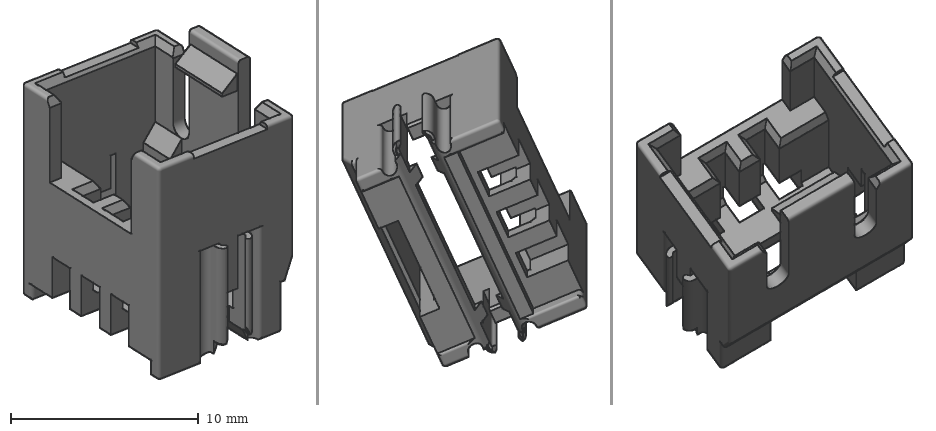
import cadquery as cq
import math

HALF_WIDTH = 5.85
HALF_DEPTH = 4.6
WALL_TOP = 13.1
EDGE_RADIUS = 0.2

INNER_HALF_WIDTH = 5.0
INNER_HALF_DEPTH = 3.8
FLOOR_TOP = 2.03
FLOOR_BOTTOM = 0.18
RIM_BEVEL_X = 0.35
RIM_BEVEL_Y = 0.3
BEVEL_HEIGHT = 0.45

SADDLE_LENGTH = 5.0
SADDLE_CENTER_Y = 0.29
SADDLE_HEIGHT = 12.85

OVERHANG_BOTTOM = 3.0
OVERHANG_LIP_Y = 4.05
OVERHANG_SLOPE_TOP = 4.4

WINDOW_HALF_WIDTH = 3.48
WINDOW_BOTTOM = 8.0
WINDOW_BEVEL_WIDTH = 0.27
WINDOW_BEVEL_HEIGHT = 0.5
LATCH_HALF_WIDTH = 2.1
LATCH_TOP = 15.0
LATCH_TOOTH_HALF_WIDTH = 2.0
LATCH_TOOTH_REACH = 1.02
LATCH_TOOTH_BOTTOM = 13.1
LATCH_TOOTH_TIP_HEIGHT = 0.2
LATCH_TOOTH_HEIGHT = 1.05

REAR_OPENING_HALF_WIDTH = 2.72
CORNER_BLOCK_DEPTH = 0.8
CORNER_BLOCK_TOP = 8.0
CORNER_BLOCK_SHOULDER = 7.0
REAR_NOTCH_START_Y = 2.66

FRONT_BLOCK_Y = -2.4
CHANNEL_CENTER_X = 1.27
CHANNEL_WIDTH = 1.2
BLOCK_BEVEL = 0.3
CHANNEL_RAMP = 0.3
SLOT_END_Y = -2.21
SLOT_TOP = 3.5
CENTER_SLOT_HALF_WIDTH = 0.78
OUTER_SLOT_NEAR_X = 1.75
OUTER_SLOT_FAR_X = 3.25
FRONT_WALL_BOTTOM = 0.98
FRONT_RECESS_END_Y = -1.8
LEG_RADIUS = 0.24
FOOT_RADIUS = 0.15

CLIP_CENTER_Y = 0.29
CLIP_TOP = 7.02
GAP_HALF_WIDTH = 0.83
TONGUE_REAR_REACH = 0.49
LEFT_TONGUE_BOTTOM = 4.99
RIGHT_TONGUE_BOTTOM = 3.78
TONGUE_BEVEL_WIDTH = 0.12
TONGUE_BEVEL_HEIGHT = 0.24
HOOK_THICKNESS = 0.34
HOOK_BOTTOM = 0.98
HOOK_BEND_X = 6.025
HOOK_BEND_RADIUS = 0.34
HOOK_BEND_ANGLE = math.radians(64)
HOOK_END_ROUNDING = 0.15
GROOVE_RADIUS = 0.4
NECK_NEAR_X = 3.86
NECK_FAR_X = 4.68
NECK_REACH = 0.4
LEAD_IN_FOOT = 1.28
LEAD_IN_ARC_TANGENT = 0.55


def block(x_range, y_range, z_range):
    """Box between two limits along each axis."""
    spans = [high - low for low, high in (x_range, y_range, z_range)]
    corner = (x_range[0], y_range[0], z_range[0])
    return cq.Workplane("XY").box(*spans, centered=False).translate(corner)


def centered_block(half_width, y_range, z_range):
    """Box symmetric about the YZ plane."""
    return block((-half_width, half_width), y_range, z_range)


def extrude_along_x(profile_yz, half_width):
    """Closed YZ outline extruded equally to both sides of the YZ plane."""
    return cq.Workplane("YZ").polyline(profile_yz).close().extrude(half_width, both=True)


def both_sides(shape):
    """Shape joined with its mirror image across the YZ plane."""
    return shape.union(shape.mirror("YZ"))


def mirrored_pair(shape):
    """Shape joined with its mirror image across the clip centre plane."""
    return shape.union(shape.mirror("XZ", (0, CLIP_CENTER_Y, 0)))


def bevel_frustum(half_x, y_range, z_top, bevel_x, bevel_front, bevel_rear, height, center_x=0):
    """Tapered cutter that widens upward to the given bevels at z_top."""
    y_low, y_high = y_range
    y_middle = (y_low + y_high) / 2
    depth = y_high - y_low
    return (
        cq.Workplane("XY", origin=(center_x, y_middle, z_top - height))
        .rect(2 * half_x, depth)
        .workplane(offset=height)
        .center(0, (bevel_rear - bevel_front) / 2)
        .rect(2 * (half_x + bevel_x), depth + bevel_front + bevel_rear)
        .loft(ruled=True)
    )


def make_shell():
    """Rounded outer body, solid inside, with the overhanging rear wall."""
    profile = [
        (-HALF_DEPTH, 0),
        (INNER_HALF_DEPTH, 0),
        (INNER_HALF_DEPTH, OVERHANG_BOTTOM),
        (OVERHANG_LIP_Y, OVERHANG_BOTTOM),
        (HALF_DEPTH, OVERHANG_SLOPE_TOP),
        (HALF_DEPTH, WALL_TOP),
        (-HALF_DEPTH, WALL_TOP),
    ]
    shell = extrude_along_x(profile, HALF_WIDTH)
    cross_edges = shell.edges("|X").edges(">Z or <Z or <Y")
    return shell.faces("<X or >X").edges().add(cross_edges).fillet(EDGE_RADIUS)


def make_cavity():
    """Space inside the walls above the floor, down to the thick front block and the rear blocks."""
    y_range = (-INNER_HALF_DEPTH, INNER_HALF_DEPTH)
    cavity = centered_block(INNER_HALF_WIDTH, y_range, (FLOOR_TOP, WALL_TOP))
    rim_bevel = bevel_frustum(
        INNER_HALF_WIDTH, y_range, WALL_TOP, RIM_BEVEL_X, RIM_BEVEL_Y, RIM_BEVEL_Y, BEVEL_HEIGHT
    )
    return cavity.union(rim_bevel).cut(make_front_block()).cut(make_corner_blocks())


def make_front_block():
    """Thick lower part of the front wall with a bevelled upper edge."""
    profile = [
        (-HALF_DEPTH, 0),
        (FRONT_BLOCK_Y, 0),
        (FRONT_BLOCK_Y, WINDOW_BOTTOM - BEVEL_HEIGHT),
        (FRONT_BLOCK_Y - BLOCK_BEVEL, WINDOW_BOTTOM),
        (-HALF_DEPTH, WINDOW_BOTTOM),
    ]
    return extrude_along_x(profile, INNER_HALF_WIDTH)


def make_channels():
    """Two key channels with bevelled mouths and a small ramp at the foot of each."""
    half_width = CHANNEL_WIDTH / 2
    x_range = (CHANNEL_CENTER_X - half_width, CHANNEL_CENTER_X + half_width)
    y_range = (-INNER_HALF_DEPTH, FRONT_BLOCK_Y)
    channel = block(x_range, y_range, (FLOOR_TOP, WINDOW_BOTTOM))
    mouth = bevel_frustum(
        half_width, y_range, WINDOW_BOTTOM, BLOCK_BEVEL, BLOCK_BEVEL, 0, BEVEL_HEIGHT, CHANNEL_CENTER_X
    )
    ramp_profile = [
        (-INNER_HALF_DEPTH, FLOOR_TOP),
        (-INNER_HALF_DEPTH + CHANNEL_RAMP, FLOOR_TOP),
        (-INNER_HALF_DEPTH, FLOOR_TOP + CHANNEL_RAMP),
    ]
    ramp = extrude_along_x(ramp_profile, half_width).translate((CHANNEL_CENTER_X, 0, 0))
    return both_sides(channel.union(mouth).cut(ramp))


def make_corner_blocks():
    """Two sloped-top blocks in the rear corners."""
    front_y = INNER_HALF_DEPTH - CORNER_BLOCK_DEPTH
    profile = [
        (front_y, 0),
        (INNER_HALF_DEPTH, 0),
        (INNER_HALF_DEPTH, CORNER_BLOCK_TOP),
        (front_y, CORNER_BLOCK_SHOULDER),
    ]
    blocks = extrude_along_x(profile, INNER_HALF_WIDTH)
    gap = centered_block(REAR_OPENING_HALF_WIDTH, (front_y, INNER_HALF_DEPTH), (0, CORNER_BLOCK_TOP))
    return blocks.cut(gap)


def make_window_flare():
    """Cutter for the bevelled upper corners shared by the front and rear openings."""
    top_half_width = WINDOW_HALF_WIDTH + WINDOW_BEVEL_WIDTH
    bevel_bottom = WALL_TOP - WINDOW_BEVEL_HEIGHT
    outline = [
        (-WINDOW_HALF_WIDTH, bevel_bottom),
        (WINDOW_HALF_WIDTH, bevel_bottom),
        (top_half_width, WALL_TOP),
        (-top_half_width, WALL_TOP),
    ]
    return cq.Workplane("XZ").polyline(outline).close().extrude(HALF_DEPTH, both=True)


def make_openings():
    """Front window, and the two round-bottomed slots beside the latch arm."""
    window = centered_block(WINDOW_HALF_WIDTH, (-HALF_DEPTH, FRONT_BLOCK_Y), (WINDOW_BOTTOM, WALL_TOP))
    slot_radius = (WINDOW_HALF_WIDTH - LATCH_HALF_WIDTH) / 2
    slot_center_x = LATCH_HALF_WIDTH + slot_radius
    slot_center_z = WINDOW_BOTTOM + slot_radius
    wall_range = (INNER_HALF_DEPTH, HALF_DEPTH)
    slot = block((LATCH_HALF_WIDTH, WINDOW_HALF_WIDTH), wall_range, (slot_center_z, WALL_TOP))
    slot_end = (
        cq.Workplane("XZ", origin=(slot_center_x, HALF_DEPTH, slot_center_z))
        .circle(slot_radius)
        .extrude(HALF_DEPTH - INNER_HALF_DEPTH)
    )
    return window.union(make_window_flare()).union(both_sides(slot.union(slot_end)))


def make_latch():
    """Flexible arm of the rear wall with its wedge-shaped tooth."""
    arm = centered_block(LATCH_HALF_WIDTH, (INNER_HALF_DEPTH, HALF_DEPTH), (WINDOW_BOTTOM, LATCH_TOP))
    arm = arm.faces(">Z").edges("|X").fillet(EDGE_RADIUS)
    tip_y = INNER_HALF_DEPTH - LATCH_TOOTH_REACH
    tooth_profile = [
        (INNER_HALF_DEPTH, LATCH_TOOTH_BOTTOM),
        (tip_y, LATCH_TOOTH_BOTTOM),
        (tip_y, LATCH_TOOTH_BOTTOM + LATCH_TOOTH_TIP_HEIGHT),
        (INNER_HALF_DEPTH, LATCH_TOOTH_BOTTOM + LATCH_TOOTH_HEIGHT),
    ]
    return arm.union(extrude_along_x(tooth_profile, LATCH_TOOTH_HALF_WIDTH))


def make_contact_slots():
    """Three slots through the front block and the front edge of the floor."""
    y_range = (-HALF_DEPTH, SLOT_END_Y)
    z_range = (0, SLOT_TOP)
    center = centered_block(CENTER_SLOT_HALF_WIDTH, y_range, z_range)
    outer = block((OUTER_SLOT_NEAR_X, OUTER_SLOT_FAR_X), y_range, z_range)
    return center.union(both_sides(outer))


def flared_recess(plane, depth, length, radius):
    """Recess between the legs, opening outward with rounded edges at its mouth."""
    mid_offset = radius * (1 - math.sqrt(0.5))
    half = INNER_HALF_WIDTH
    return (
        cq.Workplane(plane)
        .moveTo(-half - radius, 0)
        .threePointArc((-half - mid_offset, mid_offset), (-half, radius))
        .lineTo(-half, depth)
        .lineTo(half, depth)
        .lineTo(half, radius)
        .threePointArc((half + mid_offset, mid_offset), (half + radius, 0))
        .close()
        .extrude(length)
    )


def make_underside_recesses():
    """Clearance below the floor and the deeper clearance below the front wall."""
    under_floor = flared_recess("XZ", FLOOR_BOTTOM, 2 * HALF_DEPTH, FOOT_RADIUS)
    under_front = flared_recess("XY", HALF_DEPTH + FRONT_RECESS_END_Y, FRONT_WALL_BOTTOM, LEG_RADIUS)
    under_floor = under_floor.translate((0, HALF_DEPTH, 0))
    return under_floor.union(under_front.translate((0, -HALF_DEPTH, 0)))


def make_clip_gap():
    """Gap that separates the front and rear halves of the floor and the side walls."""
    y_range = (CLIP_CENTER_Y - GAP_HALF_WIDTH, CLIP_CENTER_Y + GAP_HALF_WIDTH)
    return centered_block(HALF_WIDTH, y_range, (0, CLIP_TOP))


def make_tongue(start_x, bottom):
    """Side wall tongue left hanging in the gap, joined to the wall on its front side.

    The wall section starts at start_x, where the lower edge is bevelled.
    """
    end_x = start_x + HALF_WIDTH - INNER_HALF_WIDTH
    outline = [
        (start_x, CLIP_TOP),
        (end_x, CLIP_TOP),
        (end_x, bottom),
        (start_x + TONGUE_BEVEL_WIDTH, bottom),
        (start_x, bottom + TONGUE_BEVEL_HEIGHT),
    ]
    tongue = cq.Workplane("XZ").polyline(outline).close().extrude(TONGUE_REAR_REACH + GAP_HALF_WIDTH)
    return tongue.translate((0, CLIP_CENTER_Y + TONGUE_REAR_REACH, 0))


def make_grooves():
    """Round-bottomed grooves that free the clip hooks from the side walls."""
    near_y = CLIP_CENTER_Y + GAP_HALF_WIDTH + HOOK_THICKNESS
    far_y = near_y + 2 * GROOVE_RADIUS
    center_x = HALF_WIDTH - EDGE_RADIUS
    mouth_offset = EDGE_RADIUS * (1 - math.sqrt(0.5))
    groove = (
        cq.Workplane("XY")
        .moveTo(HALF_WIDTH, near_y)
        .lineTo(center_x, near_y)
        .threePointArc((center_x - GROOVE_RADIUS, near_y + GROOVE_RADIUS), (center_x, far_y))
        .threePointArc(
            (HALF_WIDTH - mouth_offset, far_y + mouth_offset), (HALF_WIDTH, far_y + EDGE_RADIUS)
        )
        .close()
        .extrude(CLIP_TOP)
    )
    return both_sides(mirrored_pair(groove))


def make_hooks():
    """Clip hooks of constant thickness, bent toward each other with rounded tips."""
    half = HOOK_THICKNESS / 2
    base_y = CLIP_CENTER_Y + GAP_HALF_WIDTH + half
    bend_y = base_y - HOOK_BEND_RADIUS

    def on_bend(radius, angle):
        return (HOOK_BEND_X + radius * math.sin(angle), bend_y + radius * math.cos(angle))

    outer = HOOK_BEND_RADIUS + half
    inner = HOOK_BEND_RADIUS - half
    tip_x, tip_y = on_bend(HOOK_BEND_RADIUS, HOOK_BEND_ANGLE)
    tip = (tip_x + half * math.cos(HOOK_BEND_ANGLE), tip_y - half * math.sin(HOOK_BEND_ANGLE))
    hook = (
        cq.Workplane("XY", origin=(0, 0, HOOK_BOTTOM))
        .moveTo(HALF_WIDTH, base_y + half)
        .lineTo(HOOK_BEND_X, base_y + half)
        .threePointArc(on_bend(outer, HOOK_BEND_ANGLE / 2), on_bend(outer, HOOK_BEND_ANGLE))
        .threePointArc(tip, on_bend(inner, HOOK_BEND_ANGLE))
        .threePointArc(on_bend(inner, HOOK_BEND_ANGLE / 2), (HOOK_BEND_X, base_y - half))
        .lineTo(HALF_WIDTH, base_y - half)
        .close()
        .extrude(CLIP_TOP - HOOK_BOTTOM)
        .faces("<Z")
        .edges("not(<X)")
        .chamfer(HOOK_END_ROUNDING)
    )
    return both_sides(mirrored_pair(hook))


def make_necks():
    """Small floor tabs that reach into the gap next to the clips."""
    edge_y = CLIP_CENTER_Y + GAP_HALF_WIDTH
    neck = block((NECK_NEAR_X, NECK_FAR_X), (edge_y - NECK_REACH, edge_y), (FLOOR_BOTTOM, FLOOR_TOP))
    return both_sides(mirrored_pair(neck))


def make_lead_in():
    """Cutter for the sloped and rounded lower edges on both sides of the gap."""
    top_offset = GAP_HALF_WIDTH - NECK_REACH
    slope_length = math.hypot(LEAD_IN_FOOT - top_offset, FLOOR_TOP)
    arc_end = (
        LEAD_IN_FOOT - LEAD_IN_ARC_TANGENT * (LEAD_IN_FOOT - top_offset) / slope_length,
        LEAD_IN_ARC_TANGENT * FLOOR_TOP / slope_length,
    )
    cutter = (
        cq.Workplane("YZ")
        .lineTo(0, FLOOR_TOP)
        .lineTo(top_offset, FLOOR_TOP)
        .lineTo(*arc_end)
        .tangentArcPoint((LEAD_IN_FOOT + LEAD_IN_ARC_TANGENT, 0), relative=False)
        .close()
        .extrude(2 * HALF_WIDTH, both=True)
        .translate((0, CLIP_CENTER_Y, 0))
    )
    return mirrored_pair(cutter)


def make_saddle():
    """Cutter that lowers the middle of both side walls."""
    y_range = (SADDLE_CENTER_Y - SADDLE_LENGTH / 2, SADDLE_CENTER_Y + SADDLE_LENGTH / 2)
    return centered_block(HALF_WIDTH, y_range, (SADDLE_HEIGHT, WALL_TOP))


def make_rear_notch():
    """Opening in the rear of the floor below the latch arm."""
    return centered_block(
        REAR_OPENING_HALF_WIDTH, (REAR_NOTCH_START_Y, HALF_DEPTH), (0, OVERHANG_BOTTOM)
    )


housing = make_shell().cut(make_cavity()).cut(make_channels()).cut(make_openings())
housing = housing.cut(make_saddle()).cut(make_contact_slots())
housing = housing.cut(make_underside_recesses()).cut(make_rear_notch())
housing = housing.cut(make_clip_gap()).cut(make_grooves())
housing = housing.union(make_tongue(-HALF_WIDTH, LEFT_TONGUE_BOTTOM))
housing = housing.union(make_tongue(INNER_HALF_WIDTH, RIGHT_TONGUE_BOTTOM))
housing = housing.union(make_necks()).union(make_hooks())
housing = housing.cut(make_lead_in())
result = housing.union(make_latch())